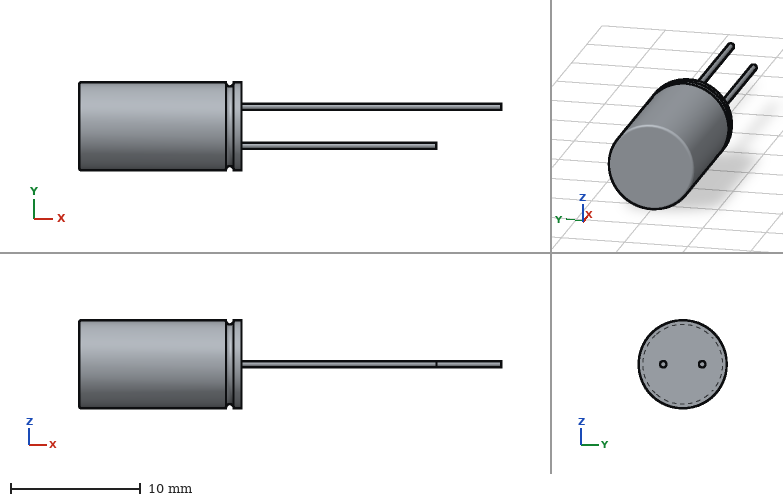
import cadquery as cq

CAN_DIAMETER = 6.8
CAN_LENGTH = 12.5
CLOSED_END_FILLET = 0.2

GROOVE_RADIUS = 0.3
GROOVE_DEPTH = 0.33
LEAD_END_RIM = 0.6
GROOVE_X = CAN_LENGTH - LEAD_END_RIM - GROOVE_RADIUS

LEAD_DIAMETER = 0.5
LEAD_PITCH = 3.0
LONG_LEAD = 20.0
SHORT_LEAD = 15.0


def make_can():
    """Cylinder with a rounded closed end and a U-shaped crimp groove."""
    radius = CAN_DIAMETER / 2
    groove_centre_r = radius - GROOVE_DEPTH + GROOVE_RADIUS
    groove_start = GROOVE_X - GROOVE_RADIUS
    groove_end = GROOVE_X + GROOVE_RADIUS
    profile = (
        cq.Workplane("XY")
        .lineTo(0, radius)
        .lineTo(groove_start, radius)
        .lineTo(groove_start, groove_centre_r)
        .threePointArc((GROOVE_X, radius - GROOVE_DEPTH), (groove_end, groove_centre_r))
        .lineTo(groove_end, radius)
        .lineTo(CAN_LENGTH, radius)
        .lineTo(CAN_LENGTH, 0)
        .close()
    )
    can = profile.revolve(360, (0, 0, 0), (1, 0, 0))
    return can.faces("<X").edges().fillet(CLOSED_END_FILLET)


def make_lead(y, length):
    """Round wire that starts flush on the can's lead end face."""
    return (
        cq.Workplane("YZ", origin=(CAN_LENGTH, y, 0))
        .circle(LEAD_DIAMETER / 2)
        .extrude(length)
    )


can = make_can()
leads = [
    make_lead(y, length)
    for y, length in ((LEAD_PITCH / 2, LONG_LEAD), (-LEAD_PITCH / 2, SHORT_LEAD))
]

result = cq.Compound.makeCompound([can.val(), *[lead.val() for lead in leads]])